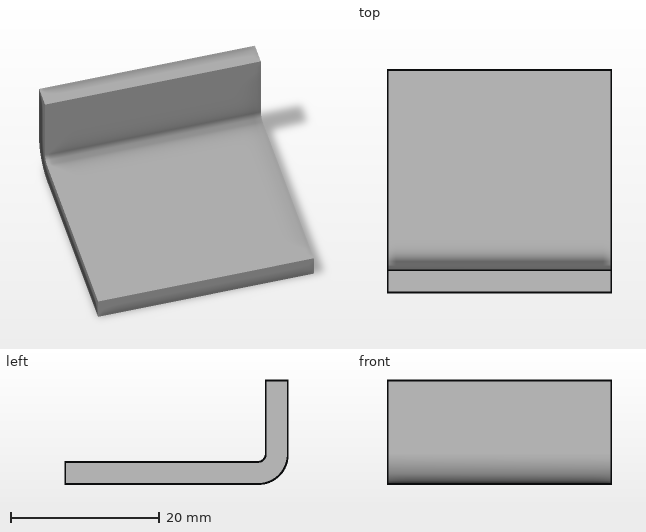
import cadquery as cq

width = 30.15
depth = 30.02
height = 14.0

thickness = 3.0
inner_bend_radius = 1.0
outer_bend_radius = inner_bend_radius + thickness

front_y = -depth / 2
back_y = depth / 2

section = [
    (front_y, 0),
    (back_y, 0),
    (back_y, thickness),
    (front_y + thickness, thickness),
    (front_y + thickness, height),
    (front_y, height),
]
plate = cq.Workplane("YZ").polyline(section).close().extrude(width / 2, both=True)

inner_corner = cq.NearestToPointSelector((0, front_y + thickness, thickness))
outer_corner = cq.NearestToPointSelector((0, front_y, 0))
plate = plate.edges(inner_corner).fillet(inner_bend_radius)
result = plate.edges(outer_corner).fillet(outer_bend_radius)